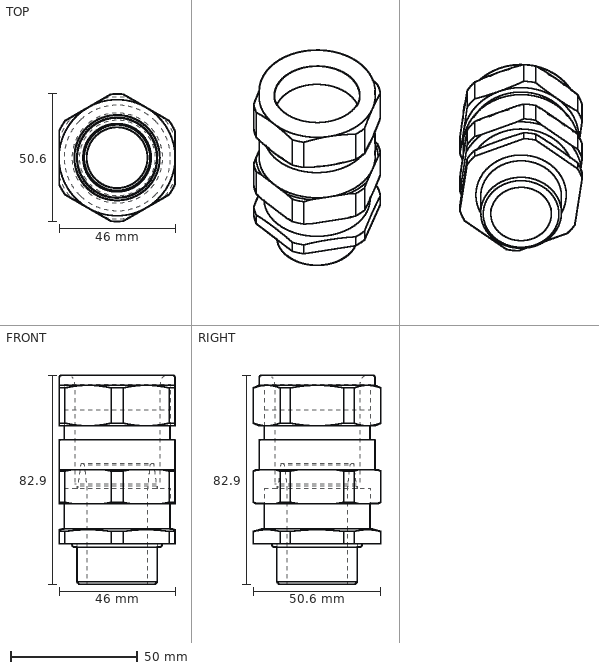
import cadquery as cq
import math


flat_radius = 23.0
corner_radius = 25.3
shank_radius = 21.0
seal_bore_radius = 16.85
chamfer_slope = math.tan(math.radians(24.5))

gasket_bottom = 14.75
entry_hex_bottom = 16.0
entry_hex_top = 22.0
middle_bottom = 32.0
shank_top = 38.0
middle_hex_top = 45.35
sleeve_top = 57.3
back_nut_bottom = 62.8
neck_top = 69.2
seal_top = 79.25
back_hex_top = 78.85
gland_top = 82.9

thread_radius = 16.0
thread_chamfer = 1.0
entry_chamfer_radius = 21.7
entry_chamfer_height = 1.05
cone_base_radius = 15.75
cone_tip_radius = 14.4
cone_tip_fillet = 0.4
cone_top = 48.0
tip_chamfer_radius = 13.55
tip_bore_radius = 13.0
tip_chamfer_depth = 0.6
bore_radius = 12.0
bore_taper_bottom = 38.0

gasket_radius = 17.9
gasket_fillet = 1.0

middle_chamfer_radius = 24.2
sleeve_fillet = 0.45
seat_radius = 16.0
seat_top = shank_top + 1.0

rim_fillet = 1.1
mouth_flare_radius = 3.0
throat_radius = 17.0
mouth_flare_outer = throat_radius + mouth_flare_radius


def ring(profile):
    """Full turn about Z of a closed (radius, height) outline."""
    return profile.close().revolve(360, (0, 0, 0), (0, 1, 0))


def start(radius, height):
    """First point of a (radius, height) outline."""
    return cq.Workplane("XZ").moveTo(radius, height)


def hexagon(outline, bottom, top):
    """Hexagon with corners on +Y and -Y, its corners trimmed to a turned outline."""
    across_corners = 2 * flat_radius / math.cos(math.pi / 6)
    prism = (
        cq.Workplane("XY", origin=(0, 0, bottom))
        .transformed(rotate=(0, 0, 90))
        .polygon(6, across_corners)
        .extrude(top - bottom)
    )
    return prism.intersect(ring(outline))


def nut_hexagon(bottom, top, chamfer_radius):
    """Hexagon with conical corner chamfers that start at one radius on both end faces."""
    chamfer_height = (corner_radius - chamfer_radius) * chamfer_slope
    outline = (
        start(0, bottom)
        .lineTo(chamfer_radius, bottom)
        .lineTo(corner_radius, bottom + chamfer_height)
        .lineTo(corner_radius, top - chamfer_height)
        .lineTo(chamfer_radius, top)
        .lineTo(0, top)
    )
    return hexagon(outline, bottom, top)


def cylinder(radius, bottom, top):
    """Upright cylinder on the Z axis between two heights."""
    return cq.Workplane("XY", origin=(0, 0, bottom)).circle(radius).extrude(top - bottom)


def make_entry():
    """Threaded spigot, hexagon, shank and armour cone with the cable bore through them."""
    spigot = cylinder(thread_radius, 0, entry_hex_bottom).faces("<Z").chamfer(thread_chamfer)
    hexagon_outline = (
        start(0, entry_hex_bottom)
        .lineTo(corner_radius, entry_hex_bottom)
        .lineTo(corner_radius, entry_hex_top - entry_chamfer_height)
        .lineTo(entry_chamfer_radius, entry_hex_top)
        .lineTo(0, entry_hex_top)
    )
    collar = hexagon(hexagon_outline, entry_hex_bottom, entry_hex_top)
    shank = cylinder(shank_radius, entry_hex_top, shank_top)
    cone = ring(
        start(0, shank_top)
        .lineTo(cone_base_radius, shank_top)
        .lineTo(cone_tip_radius, cone_top)
        .lineTo(0, cone_top)
    )
    cone = cone.faces(">Z").edges().fillet(cone_tip_fillet)
    bore = ring(
        start(0, 0)
        .lineTo(bore_radius, 0)
        .lineTo(bore_radius, bore_taper_bottom)
        .lineTo(tip_bore_radius, cone_top - tip_chamfer_depth)
        .lineTo(tip_chamfer_radius, cone_top)
        .lineTo(0, cone_top)
    )
    return spigot.union(collar).union(shank).union(cone).cut(bore)


def make_gasket():
    """Flat ring round the thread, rounded on its lower outer edge."""
    disc = cylinder(gasket_radius, gasket_bottom, entry_hex_bottom)
    disc = disc.faces("<Z").edges().fillet(gasket_fillet)
    return disc.cut(cylinder(thread_radius, gasket_bottom, entry_hex_bottom))


def make_middle_nut():
    """Hexagon, round sleeve and neck, bored for the shank and open round the armour cone."""
    body = nut_hexagon(middle_bottom, middle_hex_top, middle_chamfer_radius)
    sleeve = cylinder(flat_radius, middle_hex_top, sleeve_top).faces(">Z").edges().fillet(sleeve_fillet)
    neck = cylinder(shank_radius, sleeve_top, neck_top)
    bore = ring(
        start(0, middle_bottom)
        .lineTo(shank_radius, middle_bottom)
        .lineTo(shank_radius, shank_top)
        .lineTo(seat_radius, shank_top)
        .lineTo(seat_radius, seat_top)
        .lineTo(seal_bore_radius, seat_top + seal_bore_radius - seat_radius)
        .lineTo(seal_bore_radius, neck_top)
        .lineTo(0, neck_top)
    )
    return body.union(sleeve).union(neck).cut(bore)


def make_seal():
    """Plain sealing sleeve held between the neck and the lip of the back nut."""
    return cylinder(shank_radius, neck_top, seal_top).cut(cylinder(seal_bore_radius, neck_top, seal_top))


def make_back_nut():
    """Hexagon with a round rim, a flared mouth and a recess for the neck and seal."""
    body = nut_hexagon(back_nut_bottom, back_hex_top, flat_radius)
    rim = cylinder(flat_radius, back_hex_top, gland_top).faces(">Z").edges().fillet(rim_fillet)
    flare_bottom = gland_top - mouth_flare_radius
    flare_middle = (
        mouth_flare_outer - mouth_flare_radius * math.sqrt(0.5),
        flare_bottom + mouth_flare_radius * math.sqrt(0.5),
    )
    mouth = ring(
        start(0, back_nut_bottom)
        .lineTo(shank_radius, back_nut_bottom)
        .lineTo(shank_radius, seal_top)
        .lineTo(throat_radius, seal_top)
        .lineTo(throat_radius, flare_bottom)
        .threePointArc(flare_middle, (mouth_flare_outer, gland_top))
        .lineTo(0, gland_top)
    )
    return body.union(rim).cut(mouth)


entry = make_entry()
gasket = make_gasket()
middle_nut = make_middle_nut()
seal = make_seal()
back_nut = make_back_nut()

result = cq.Compound.makeCompound(
    [entry.val(), gasket.val(), middle_nut.val(), seal.val(), back_nut.val()]
)